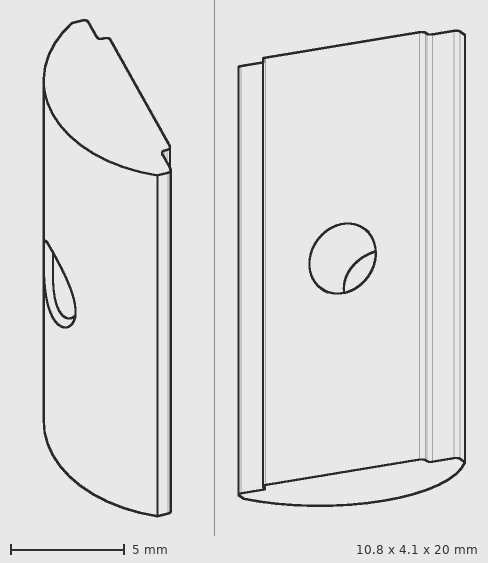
import cadquery as cq
import math

length = 20.0
width = 10.8
depth = 4.1

land_width = 7.92
land_height = 0.5
side_wall_end = 1.2
corner_radius = 0.2
root_radius = 0.18

hole_diameter = 3.25
hole_chamfer = 0.3
curve_points = 48

half_width = width / 2
half_land = land_width / 2
hole_radius = hole_diameter / 2

arch_rise = depth - side_wall_end
arch_radius = (half_width**2 + arch_rise**2) / (2 * arch_rise)
arch_axis_y = arch_radius - depth


def make_bar():
    """Extrude the cross-section: stepped back, short side walls and an arched front."""
    return (
        cq.Workplane("XY")
        .moveTo(-half_land, 0)
        .lineTo(half_land, 0)
        .lineTo(half_land, -land_height)
        .lineTo(half_width, -land_height)
        .lineTo(half_width, -side_wall_end)
        .threePointArc((0, -depth), (-half_width, -side_wall_end))
        .lineTo(-half_width, -land_height)
        .lineTo(-half_land, -land_height)
        .close()
        .extrude(length)
    )


def vertical_edge(x, y):
    """Select the lengthwise edge at the given place in the cross-section."""
    return cq.selectors.NearestToPointSelector((x, y, length / 2))


def round_shoulders(bar):
    """Round the land corners, step roots and outer shoulder corners on both sides."""
    for side in (-1, 1):
        bar = bar.edges(vertical_edge(side * half_width, -land_height)).fillet(corner_radius)
        bar = bar.edges(vertical_edge(side * half_land, 0)).fillet(corner_radius)
        bar = bar.edges(vertical_edge(side * half_land, -land_height)).fillet(root_radius)
    return bar


def chamfer_line(angle):
    """Return the chamfer's ends on the hole wall and on the arch, at an angle around the hole.

    Both are the feet of perpendiculars from a point lying one chamfer size inside
    the hole wall and one chamfer size inside the arch, so the chamfer widens at the sides.
    """
    offset_arch = arch_radius - hole_chamfer
    x = (hole_radius + hole_chamfer) * math.cos(angle)
    z = (hole_radius + hole_chamfer) * math.sin(angle)
    drop = math.sqrt(offset_arch**2 - x**2)
    scale = arch_radius / offset_arch
    on_wall = cq.Vector(
        hole_radius * math.cos(angle),
        arch_axis_y - drop,
        length / 2 + hole_radius * math.sin(angle),
    )
    on_arch = cq.Vector(x * scale, arch_axis_y - drop * scale, length / 2 + z)
    return on_wall, on_arch


def closed_curve(points):
    return cq.Edge.makeSpline(points, periodic=True)


def make_hole_cutter():
    """Build the drill with a flared mouth that runs on past the arched face."""
    angles = [2 * math.pi * i / curve_points for i in range(curve_points)]
    lines = [chamfer_line(angle) for angle in angles]
    inner = [on_wall for on_wall, _ in lines]
    outer = [on_arch * 2 - on_wall for on_wall, on_arch in lines]
    front_y = -2 * depth
    back_y = depth
    rings = [
        closed_curve([cq.Vector(p.x, back_y, p.z) for p in inner]),
        closed_curve(inner),
        closed_curve(outer),
        closed_curve([cq.Vector(p.x, front_y, p.z) for p in outer]),
    ]
    faces = [cq.Face.makeRuledSurface(a, b) for a, b in zip(rings, rings[1:])]
    for end in (rings[0], rings[-1]):
        faces.append(cq.Face.makeFromWires(cq.Wire.assembleEdges([end])))
    return cq.Solid.makeSolid(cq.Shell.makeShell(faces)).fix()


result = round_shoulders(make_bar()).cut(cq.Workplane(make_hole_cutter()))